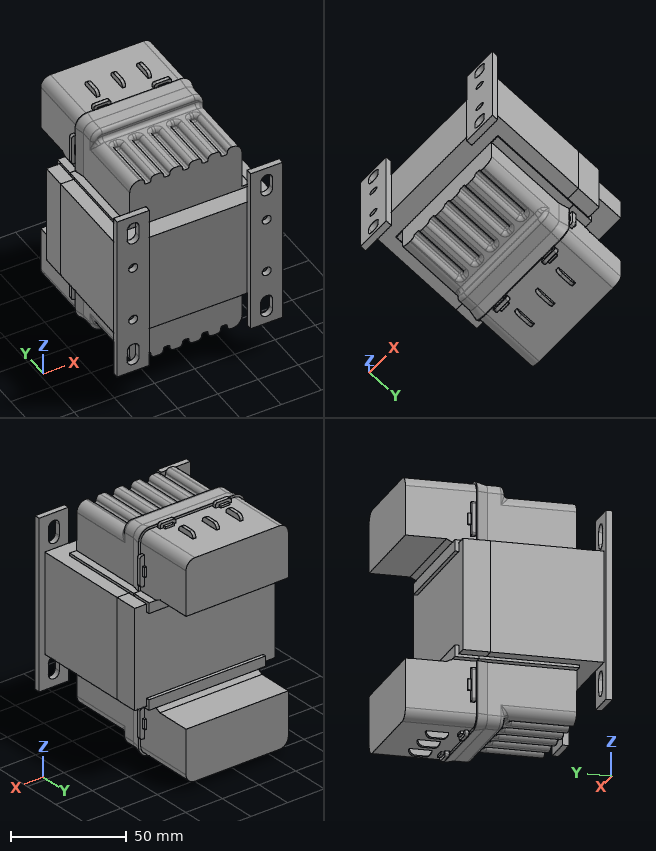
import cadquery as cq
import math


margin = 0.1
root_depth = 1.2

rail_outer_x = 41.3
rail_width = 16.1
rail_thickness = 3.0
rail_length = 85.8
slot_length = 11.3
slot_width = 5.8
slot_z = 33.4
rivet_hole_diameter = 4.4
rivet_hole_z = 14.3
rail_center_x = rail_outer_x - rail_width / 2

core_half_width = 38.3
core_depth = 50.5
core_split_y = 53.9
core_top_y = 66.4
core_half_depth = core_depth / 2

flange_half_width = 31.8
flange_thickness = 1.3
flange_bottom_y = 12.2
hook_thickness = 1.7
hook_reach = 4.0
flange_z = core_half_depth + flange_thickness
hook_top_y = core_top_y + hook_thickness

cover_half_width = 28.0
cover_outer_z = 55.2
corner_radius = 4.9
cover_split_y = 57.3
cover_top_y = 89.2

ribbed_outer_z = 50.2
shoulder_y = 44.3
shoulder_radius = 2.0
flare_start_y = 52.2
flare_overhang = 1.2
flare_rim = 0.3

groove_count = 5
groove_pitch = 9.5
groove_width = 3.1
groove_depth = 3.2
groove_end_y = 39.3
groove_floor_radius = 0.9
groove_lip_radius = 2.1

underside_z = 27.8
underside_y = 70.8

fin_count = 3
fin_pitch = 12.9
fin_thickness = 1.6
fin_bottom_y = 65.5
fin_length = 10.1
fin_outer_z = 58.0
fin_radius = 2.7

clip_bottom_y = 58.1
clip_width = 1.9
clip_height = 2.4
clip_end_radius = 1.2
front_clip_length = 8.6
front_clip_x = 15.1
side_clip_length = 15.3
side_clip_z = 37.6
tab_length = 5.0
tab_width = 4.1
tab_height = 1.0


def block(x_min, x_max, y_min, y_max, z_min, z_max):
    size = (x_max - x_min, y_max - y_min, z_max - z_min)
    return cq.Workplane("XY").box(*size, centered=False).translate((x_min, y_min, z_min))


def arch_outline(y, half_width, outer_z, radius):
    """Cover outline at height y: flat against the core, two rounded outer corners."""
    straight = half_width - radius
    bend = radius * math.sqrt(0.5)
    return (
        cq.Workplane("XZ", origin=(0, y, 0))
        .moveTo(-half_width, core_half_depth)
        .lineTo(-half_width, outer_z - radius)
        .threePointArc((-straight - bend, outer_z - radius + bend), (-straight, outer_z))
        .lineTo(straight, outer_z)
        .threePointArc((straight + bend, outer_z - radius + bend), (half_width, outer_z - radius))
        .lineTo(half_width, core_half_depth)
        .close()
    )


def arch_prism(y_min, y_max, half_width, outer_z, radius):
    return arch_outline(y_min, half_width, outer_z, radius).extrude(y_min - y_max)


def make_core_e():
    return block(-core_half_width, core_half_width, rail_thickness, core_split_y,
                 -core_half_depth, core_half_depth)


def make_core_i():
    return block(-core_half_width, core_half_width, core_split_y, core_top_y,
                 -core_half_depth, core_half_depth)


def make_rail(side):
    rail = (
        cq.Workplane("XZ")
        .rect(rail_width, rail_length)
        .extrude(-rail_thickness)
    )
    slots = (
        cq.Workplane("XZ")
        .pushPoints([(0, -slot_z), (0, slot_z)])
        .slot2D(slot_length, slot_width, 90)
        .extrude(-rail_thickness)
    )
    rivet_holes = (
        cq.Workplane("XZ")
        .pushPoints([(0, -rivet_hole_z), (0, rivet_hole_z)])
        .circle(rivet_hole_diameter / 2)
        .extrude(-rail_thickness)
    )
    return rail.cut(slots).cut(rivet_holes).translate((side * rail_center_x, 0, 0))


def make_flare():
    """Skirt that widens towards the split and ends in a short straight rim."""
    rim_y = cover_split_y - flare_rim
    rim_half_width = cover_half_width + flare_overhang
    rim_outer_z = cover_outer_z + flare_overhang
    rim_radius = corner_radius + flare_overhang
    lower_wire = arch_outline(flare_start_y, cover_half_width, cover_outer_z, corner_radius).val()
    upper_wire = arch_outline(rim_y, rim_half_width, rim_outer_z, rim_radius).val()
    cone = cq.Workplane(cq.Solid.makeLoft([lower_wire, upper_wire], True))
    return cone.union(arch_prism(rim_y, cover_split_y, rim_half_width, rim_outer_z, rim_radius))


def make_groove(x):
    """Groove with rounded floor and end, open at the bottom of the cover."""
    overrun = groove_floor_radius * 2
    floor_z = ribbed_outer_z - groove_depth
    groove = block(x - groove_width / 2, x + groove_width / 2, flange_bottom_y - overrun, groove_end_y,
                   floor_z, ribbed_outer_z + overrun)
    groove = groove.edges(">Y and |Z").fillet(groove_floor_radius)
    return groove.faces("<Z").edges("not <Y").fillet(groove_floor_radius)


def edges_on_ribbed_face(body, y_min, y_max):
    """Edges on the flat ribbed face whose centers lie between two heights."""
    half_width = cover_half_width - corner_radius - margin
    low_corner = (-half_width, y_min, ribbed_outer_z - margin)
    high_corner = (half_width, y_max, ribbed_outer_z + margin)
    return body.edges(cq.selectors.BoxSelector(low_corner, high_corner))


def make_ribbed_section():
    section = arch_prism(flange_bottom_y, cover_split_y, cover_half_width, ribbed_outer_z, corner_radius)
    for index in range(groove_count):
        x = (index - (groove_count - 1) / 2) * groove_pitch
        section = section.cut(make_groove(x))
    lips = edges_on_ribbed_face(section, flange_bottom_y + margin, groove_end_y + margin)
    return lips.fillet(groove_lip_radius)


def make_winding_cover():
    skirt = arch_prism(shoulder_y, cover_split_y, cover_half_width, cover_outer_z, corner_radius)
    skirt = skirt.faces("<Y").edges("not <Z").fillet(shoulder_radius)
    flange = block(-flange_half_width, flange_half_width, flange_bottom_y, cover_split_y,
                   core_half_depth, flange_z)
    cover = make_ribbed_section().union(skirt)
    shoulder_foot = edges_on_ribbed_face(cover, shoulder_y - margin, shoulder_y + margin)
    cover = shoulder_foot.fillet(shoulder_radius)
    return cover.union(make_flare()).union(flange)


def make_fin(x):
    half_length = fin_length / 2
    fin = block(x - fin_thickness / 2, x + fin_thickness / 2, fin_bottom_y, fin_bottom_y + fin_length,
                cover_outer_z - root_depth, fin_outer_z)
    return fin.edges(">Z and |X").fillet(fin_radius)


def make_clip(length):
    """Clip standing on the XY plane, long side along X, root sunk below the surface."""
    clip = block(-length / 2, length / 2, clip_bottom_y, clip_bottom_y + clip_width,
                 -root_depth, clip_height)
    clip = clip.edges("|Y and >Z").fillet(clip_end_radius)
    tab = block(-tab_length / 2, tab_length / 2, cover_split_y, cover_split_y + tab_width,
                -root_depth, tab_height)
    return clip.union(tab)


def make_terminal_cover():
    cover = arch_prism(cover_split_y, cover_top_y, cover_half_width, cover_outer_z, corner_radius)
    relief = (
        cq.Workplane("YZ")
        .polyline([(hook_top_y, core_half_depth), (hook_top_y, flange_z), (underside_y, underside_z),
                   (cover_top_y, underside_z), (cover_top_y, core_half_depth)])
        .close()
        .extrude(cover_half_width, both=True)
    )
    flange = block(-flange_half_width, flange_half_width, cover_split_y, hook_top_y,
                   core_half_depth, flange_z)
    hook = block(-flange_half_width, flange_half_width, core_top_y, hook_top_y,
                 core_half_depth - hook_reach, core_half_depth)
    cover = cover.cut(relief).union(flange).union(hook)
    for index in range(fin_count):
        cover = cover.union(make_fin((index - (fin_count - 1) / 2) * fin_pitch))
    for side in (-1, 1):
        front_clip = make_clip(front_clip_length).translate((side * front_clip_x, 0, cover_outer_z))
        side_clip = (
            make_clip(side_clip_length)
            .rotate((0, 0, 0), (0, 1, 0), side * 90)
            .translate((side * cover_half_width, 0, side_clip_z))
        )
        cover = cover.union(front_clip).union(side_clip)
    return cover


core_e = make_core_e()
core_i = make_core_i()
rails = [make_rail(side) for side in (-1, 1)]

winding_covers = [make_winding_cover().rotate((0, 0, 0), (0, 1, 0), turn) for turn in (0, 180)]
terminal_covers = [make_terminal_cover().rotate((0, 0, 0), (0, 1, 0), turn) for turn in (0, 180)]

result = cq.Compound.makeCompound([
    core_e.val(),
    core_i.val(),
    *[rail.val() for rail in rails],
    *[cover.val() for cover in winding_covers],
    *[cover.val() for cover in terminal_covers],
])